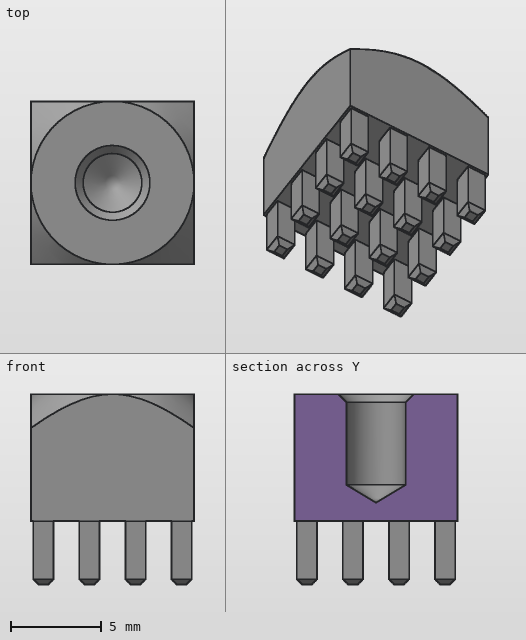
import cadquery as cq
import math

body_width = 9.0
total_height = 10.5
pin_length = 3.5
body_height = total_height - pin_length
crown_angle = 45.0

hole_diameter = 3.24
countersink_diameter = 4.13
countersink_depth = (countersink_diameter - hole_diameter) / 2
hole_depth = 5.0
drill_point_angle = 118.0

pins_per_side = 4
pin_pitch = 2.54
pin_width = 1.13
tip_height = 0.3
tip_inset = 0.3


def make_body():
    """Square block whose top corners are cut by a cone touching the side faces."""
    block = cq.Workplane("XY").box(body_width, body_width, body_height, centered=(True, True, False))
    top_radius = body_width / 2
    outer_radius = body_width
    crown_drop = (outer_radius - top_radius) * math.tan(math.radians(crown_angle))
    crown_envelope = (
        cq.Workplane("XZ")
        .moveTo(0, body_height)
        .lineTo(top_radius, body_height)
        .lineTo(outer_radius, body_height - crown_drop)
        .lineTo(outer_radius, 0)
        .lineTo(0, 0)
        .close()
        .revolve(360, (0, 0, 0), (0, 1, 0))
    )
    return block.intersect(crown_envelope)


def make_hole():
    """Countersunk blind hole with a conical drill point."""
    hole_radius = hole_diameter / 2
    point_depth = hole_radius / math.tan(math.radians(drill_point_angle / 2))
    hole_bottom = body_height - hole_depth
    return (
        cq.Workplane("XZ")
        .moveTo(0, body_height)
        .lineTo(countersink_diameter / 2, body_height)
        .lineTo(hole_radius, body_height - countersink_depth)
        .lineTo(hole_radius, hole_bottom)
        .lineTo(0, hole_bottom - point_depth)
        .close()
        .revolve(360, (0, 0, 0), (0, 1, 0))
    )


def make_pin(x, y):
    """Square pin hanging below the body, with a tapered tip."""
    shank_length = pin_length - tip_height
    tip_width = pin_width - 2 * tip_inset
    shank = cq.Workplane("XY").center(x, y).rect(pin_width, pin_width).extrude(-shank_length)
    tip = (
        cq.Workplane("XY", origin=(x, y, -shank_length))
        .rect(pin_width, pin_width)
        .workplane(offset=-tip_height)
        .rect(tip_width, tip_width)
        .loft(ruled=True)
    )
    return shank.union(tip)


def make_pins():
    """Square grid of pins, centred under the body."""
    first_pin = -pin_pitch * (pins_per_side - 1) / 2
    positions = [first_pin + index * pin_pitch for index in range(pins_per_side)]
    return [make_pin(x, y) for x in positions for y in positions]


result = make_body().cut(make_hole())
for pin in make_pins():
    result = result.union(pin)